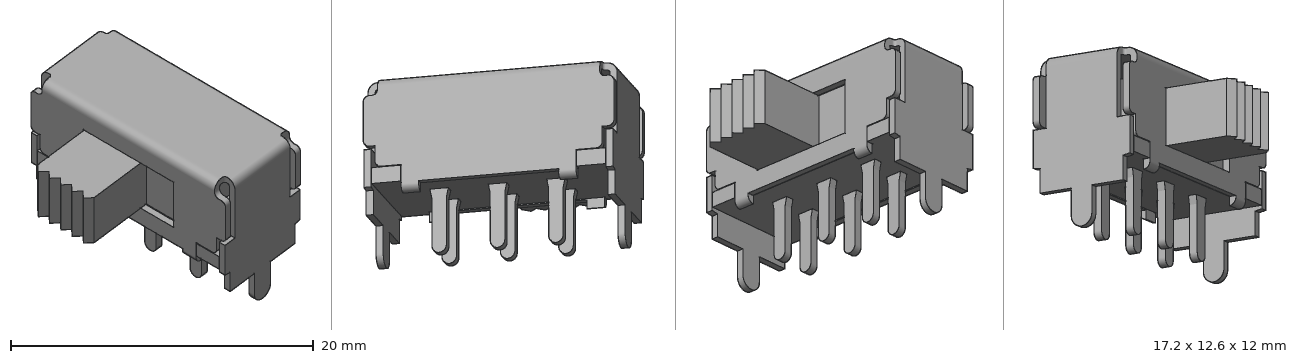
import cadquery as cq


LENGTH = 17.2
DEPTH = 12.62
HEIGHT = 12.0

SHEET = 0.5
BEND_RADIUS = 0.69
END_SPAN = 17.1
SIDE_SPAN = 7.48

SIDE_BEND_LENGTH = 15.24
RELIEF_FILLET = 0.2
CORNER_RADIUS = 0.4
EAR_TOP_Z = -1.19
EAR_BOTTOM_Z = -4.7
SKIRT_WIDTH = 15.58
SKIRT_BOTTOM_Z = -6.15
CENTRE_WIDTH = 12.0
CENTRE_BOTTOM_Z = -7.38
TAB_WIDTH = 1.2
TAB_BEND_Z = -7.5

WINDOW_LENGTH = 8.0
WINDOW_TOP_Z = -2.01
WINDOW_HEIGHT = 3.95

END_BEND_LENGTH = 5.5
END_EAR_SPAN = 7.5
END_EAR_TOP_Z = -4.92
END_EAR_TIP_Z = -7.53
END_EAR_ROOT_Z = -7.62
END_LOWER_WIDTH = 6.47
END_LOWER_Z = -9.3
LEG_WIDTH = 1.6

BASE_TOP_Z = -6.21
BASE_BOTTOM_Z = -7.31
BASE_CLEARANCE = 0.03
PIN_PITCH = 4.0
PIN_ROW_SPACING = 2.48
PIN_THICKNESS = 0.6
PIN_WIDTH = 1.0
PIN_ROOT_WIDTH = 1.27
PIN_TAPER_END_Z = -7.95
PIN_TIP_Z = -11.75
PINS_PER_ROW = 3

KNOB_CENTRE_X = -1.4
KNOB_LENGTH = 4.99
TOOTH_COUNT = 5
TOOTH_DEPTH = 0.5
CARRIAGE_LENGTH = 12.0
CARRIAGE_BACK_Y = 2.0
CARRIAGE_CLEARANCE = 0.07

INNER_SIDE_Y = SIDE_SPAN / 2 - SHEET
INNER_END_X = END_SPAN / 2 - SHEET
KNOB_TIP_Y = END_EAR_SPAN / 2 - DEPTH


def mirrored_outline(plane, right_half, span):
    """Prism of a half outline and its mirror image, spread evenly to both sides of the plane."""
    return right_half(cq.Workplane(plane).moveTo(0, 0)).mirrorY().extrude(span / 2, both=True)


def channel(plane, span, run):
    """Upside-down U of bent sheet, open at the bottom and running along the plane's normal."""
    outer = (
        cq.Workplane(plane).center(0, -HEIGHT / 2).rect(span, HEIGHT).extrude(run / 2, both=True)
    )
    inner = (
        cq.Workplane(plane)
        .center(0, -SHEET - HEIGHT / 2)
        .rect(span - 2 * SHEET, HEIGHT)
        .extrude(run / 2, both=True)
    )
    bend_axis = "|X" if plane == "YZ" else "|Y"
    outer = outer.faces(">Z").edges(bend_axis).fillet(BEND_RADIUS)
    inner = inner.faces(">Z").edges(bend_axis).fillet(BEND_RADIUS - SHEET)
    return outer.cut(inner)


def side_half_outline(start):
    """Right half of the front and back wall outline, from the top down to the centre bottom."""
    bend_x = SIDE_BEND_LENGTH / 2
    ear_x = LENGTH / 2
    skirt_x = SKIRT_WIDTH / 2
    centre_x = CENTRE_WIDTH / 2
    r = CORNER_RADIUS
    return (
        start.lineTo(bend_x, 0)
        .lineTo(bend_x, EAR_TOP_Z + r)
        .radiusArc((bend_x + r, EAR_TOP_Z), -r)
        .lineTo(ear_x - r, EAR_TOP_Z)
        .radiusArc((ear_x, EAR_TOP_Z - r), r)
        .lineTo(ear_x, EAR_BOTTOM_Z + r)
        .radiusArc((ear_x - r, EAR_BOTTOM_Z), r)
        .lineTo(skirt_x, EAR_BOTTOM_Z)
        .lineTo(skirt_x, SKIRT_BOTTOM_Z + r)
        .radiusArc((skirt_x - r, SKIRT_BOTTOM_Z), r)
        .lineTo(centre_x, SKIRT_BOTTOM_Z)
        .lineTo(centre_x, TAB_BEND_Z)
        .lineTo(centre_x - TAB_WIDTH, TAB_BEND_Z)
        .lineTo(centre_x - TAB_WIDTH, CENTRE_BOTTOM_Z)
        .lineTo(0, CENTRE_BOTTOM_Z)
    )


def end_half_outline(start):
    """Half of the end wall outline, from the top down to the round tip of the leg."""
    bend_y = END_BEND_LENGTH / 2
    ear_y = END_EAR_SPAN / 2
    lower_y = END_LOWER_WIDTH / 2
    leg_y = LEG_WIDTH / 2
    return (
        start.lineTo(bend_y, 0)
        .lineTo(bend_y, END_EAR_TOP_Z)
        .lineTo(ear_y, END_EAR_TOP_Z)
        .lineTo(ear_y, END_EAR_TIP_Z)
        .lineTo(lower_y, END_EAR_ROOT_Z)
        .lineTo(lower_y, END_LOWER_Z)
        .lineTo(leg_y, END_LOWER_Z)
        .lineTo(leg_y, leg_y - HEIGHT)
        .radiusArc((0, -HEIGHT), leg_y)
    )


def curled_tab(x_start):
    """Front tab that curls inward in a quarter round below the front wall."""
    return (
        cq.Workplane("YZ", origin=(x_start, 0, 0))
        .moveTo(-SIDE_SPAN / 2, TAB_BEND_Z)
        .lineTo(-INNER_SIDE_Y, TAB_BEND_Z)
        .lineTo(-INNER_SIDE_Y, TAB_BEND_Z - SHEET)
        .radiusArc((-SIDE_SPAN / 2, TAB_BEND_Z), SHEET)
        .close()
        .extrude(TAB_WIDTH)
    )


def make_cover():
    sides = channel("YZ", SIDE_SPAN, LENGTH).intersect(
        mirrored_outline("XZ", side_half_outline, SIDE_SPAN)
    )
    ends = channel("XZ", END_SPAN, END_EAR_SPAN).intersect(
        mirrored_outline("YZ", end_half_outline, END_SPAN)
    )
    cover = sides.union(ends)

    reach_x = SIDE_BEND_LENGTH / 2 + RELIEF_FILLET
    reach_y = END_BEND_LENGTH / 2 + RELIEF_FILLET
    relief_corners = cq.selectors.BoxSelector((-reach_x, -reach_y, -SHEET), (reach_x, reach_y, 0))
    cover = cover.edges("|Z").edges(relief_corners).fillet(RELIEF_FILLET)

    window = cq.Workplane("XY").box(
        WINDOW_LENGTH, SHEET, WINDOW_HEIGHT, centered=(True, False, False)
    )
    cover = cover.cut(window.translate((0, -SIDE_SPAN / 2, WINDOW_TOP_Z - WINDOW_HEIGHT)))

    for x_start in (-CENTRE_WIDTH / 2, CENTRE_WIDTH / 2 - TAB_WIDTH):
        tab = curled_tab(x_start)
        cover = cover.union(tab).union(tab.mirror("XZ"))
    return cover


def pin_half_outline(start):
    """Half of a pin: a tapered root below the base, a straight shank and a round tip."""
    half_width = PIN_WIDTH / 2
    return (
        start.moveTo(0, BASE_BOTTOM_Z)
        .lineTo(PIN_ROOT_WIDTH / 2, BASE_BOTTOM_Z)
        .lineTo(half_width, PIN_TAPER_END_Z)
        .lineTo(half_width, PIN_TIP_Z + half_width)
        .radiusArc((0, PIN_TIP_Z), half_width)
    )


def make_base():
    thickness = BASE_TOP_Z - BASE_BOTTOM_Z
    plate = cq.Workplane("XY").box(
        2 * (INNER_END_X - BASE_CLEARANCE), END_EAR_SPAN, thickness, centered=(True, True, False)
    )
    notch_depth = END_EAR_SPAN / 2 - INNER_SIDE_Y + BASE_CLEARANCE
    notch = cq.Workplane("XY").box(
        CENTRE_WIDTH + 2 * BASE_CLEARANCE, notch_depth, thickness, centered=(True, False, False)
    )
    notch = notch.translate((0, -END_EAR_SPAN / 2, 0))
    base = plate.cut(notch).cut(notch.mirror("XZ")).translate((0, 0, BASE_BOTTOM_Z))

    pin = mirrored_outline("XZ", pin_half_outline, PIN_THICKNESS)
    for row_y in (-PIN_ROW_SPACING / 2, PIN_ROW_SPACING / 2):
        for i in range(PINS_PER_ROW):
            pin_x = (i - (PINS_PER_ROW - 1) / 2) * PIN_PITCH
            base = base.union(pin.translate((pin_x, row_y, 0)))
    return base


def make_slider():
    left_x = KNOB_CENTRE_X - KNOB_LENGTH / 2
    tooth_pitch = KNOB_LENGTH / TOOTH_COUNT
    root_y = KNOB_TIP_Y + TOOTH_DEPTH
    carriage_front_y = CARRIAGE_CLEARANCE - INNER_SIDE_Y
    bottom_z = WINDOW_TOP_Z - WINDOW_HEIGHT

    knob_points = [(left_x + KNOB_LENGTH, carriage_front_y), (left_x, carriage_front_y), (left_x, root_y)]
    for i in range(TOOTH_COUNT):
        knob_points.append((left_x + (i + 0.5) * tooth_pitch, KNOB_TIP_Y))
        knob_points.append((left_x + (i + 1) * tooth_pitch, root_y))
    knob = cq.Workplane("XY").polyline(knob_points).close().extrude(WINDOW_HEIGHT)

    carriage = cq.Workplane("XY").box(
        CARRIAGE_LENGTH, CARRIAGE_BACK_Y - carriage_front_y, WINDOW_HEIGHT, centered=(True, False, False)
    )
    carriage = carriage.translate((KNOB_CENTRE_X, carriage_front_y, 0))
    return knob.union(carriage).translate((0, 0, bottom_z))


cover = make_cover()
base = make_base()
slider = make_slider()

result = cq.Compound.makeCompound([cover.solids().val(), base.solids().val(), slider.solids().val()])